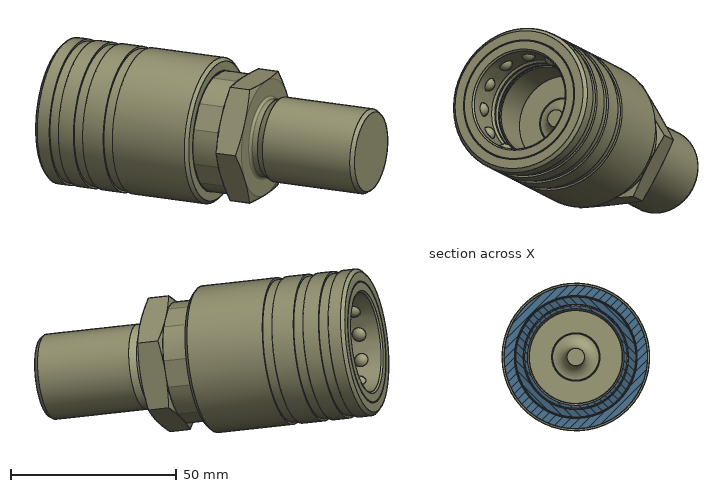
import cadquery as cq
import math


SLEEVE_LENGTH = 51.0
SLEEVE_DIAMETER = 44.8
SLEEVE_RADIUS = SLEEVE_DIAMETER / 2
SLEEVE_BORE_RADIUS = 18.6
SLEEVE_CHAMFER = 1.0
GRIP_GROOVE_DEPTH = 0.6
GRIP_GROOVE_WIDTH = 3.1
GRIP_GROOVE_STARTS = (5.0, 13.1, 23.0)

BARREL_RADIUS = 18.3
COLLAR_RADIUS = 18.5
HEX_ACROSS_FLATS = 36.0
HEX_START = 59.1
HEX_END = 67.0
HEX_CHAMFER_ANGLE = 15.0

TOTAL_LENGTH = 102.0
STEM_DIAMETER = 26.0
STEM_RADIUS = STEM_DIAMETER / 2
STEM_START = 71.7
STEM_CHAMFER_LENGTH = 1.2
STEM_CHAMFER_DEPTH = 0.8
NECK_RADIUS = 11.9
NECK_END = 69.6
NECK_FILLET = 0.8

MOUTH_CHAMFER = 0.5
SOCKET_RADIUS = 15.2
SOCKET_DEPTH = 13.0
SEAL_LAND_RADIUS = 14.5
SEAL_LAND_END = 17.4
SEAT_RADIUS = 14.1
SEAT_DEPTH = 30.6

SEAL_GROOVE_START = 14.5
SEAL_GROOVE_WIDTH = 2.1
SEAL_GROOVE_DEPTH = 1.4
SEAL_SECTION_RADIUS = 0.9
SEAL_EMBEDMENT = 0.1

BALL_COUNT = 12
BALL_X = 6.8
BALL_RADIUS = 2.2
BALL_CIRCLE_RADIUS = 15.8

POPPET_RADIUS = 7.0
POPPET_CLEARANCE = 0.3
POPPET_TIP_RADIUS = 2.7
POPPET_RECESS_DEPTH = 10.2


def turned(outline):
    """Revolve a closed outline, drawn as X against radius, about the X axis."""
    return outline.close().revolve(360, (0, 0, 0), (1, 0, 0))


def tube(start, length, outer, inner):
    """Ring about the X axis."""
    return cq.Workplane("YZ").workplane(offset=start).circle(outer).circle(inner).extrude(length)


def make_sleeve():
    """Sliding sleeve with chamfered ends and grip grooves."""
    sleeve = tube(0, SLEEVE_LENGTH, SLEEVE_RADIUS, SLEEVE_BORE_RADIUS)
    sleeve = sleeve.edges(cq.selectors.RadiusNthSelector(-1)).chamfer(SLEEVE_CHAMFER)
    groove_floor = SLEEVE_RADIUS - GRIP_GROOVE_DEPTH
    for start in GRIP_GROOVE_STARTS:
        sleeve = sleeve.cut(tube(start, GRIP_GROOVE_WIDTH, SLEEVE_RADIUS, groove_floor))
    return sleeve


def hex_prism(start, end):
    """Hexagon along X with two corners on the Y axis."""
    corner_diameter = HEX_ACROSS_FLATS / math.cos(math.radians(30))
    return cq.Workplane("YZ").workplane(offset=start).polygon(6, corner_diameter).extrude(end - start)


def make_barrel():
    """Round barrel inside the sleeve, and a collar with six flats behind it."""
    barrel = cq.Workplane("YZ").circle(BARREL_RADIUS).extrude(SLEEVE_LENGTH)
    collar = cq.Workplane("YZ").workplane(offset=SLEEVE_LENGTH).circle(COLLAR_RADIUS)
    collar = collar.extrude(HEX_START - SLEEVE_LENGTH)
    return barrel.union(collar.intersect(hex_prism(SLEEVE_LENGTH, HEX_START)))


def make_hex():
    """Hexagon whose corners are turned off by a shallow cone at both ends."""
    face_radius = HEX_ACROSS_FLATS / 2
    mid_x = (HEX_START + HEX_END) / 2
    half_width = (HEX_END - HEX_START) / 2
    bulge_radius = face_radius + half_width / math.tan(math.radians(HEX_CHAMFER_ANGLE))
    envelope = turned(
        cq.Workplane("XY")
        .moveTo(HEX_START, 0)
        .lineTo(HEX_START, face_radius)
        .lineTo(mid_x, bulge_radius)
        .lineTo(HEX_END, face_radius)
        .lineTo(HEX_END, 0)
    )
    return hex_prism(HEX_START, HEX_END).intersect(envelope)


def make_stem():
    """Neck filleted to the hexagon, then a stem with a coned start and a chamfered end."""
    diagonal = NECK_FILLET * (1 - math.sqrt(0.5))
    return turned(
        cq.Workplane("XY")
        .moveTo(HEX_END, 0)
        .lineTo(HEX_END, NECK_RADIUS + NECK_FILLET)
        .threePointArc(
            (HEX_END + diagonal, NECK_RADIUS + diagonal),
            (HEX_END + NECK_FILLET, NECK_RADIUS),
        )
        .lineTo(NECK_END, NECK_RADIUS)
        .lineTo(STEM_START, STEM_RADIUS)
        .lineTo(TOTAL_LENGTH - STEM_CHAMFER_LENGTH, STEM_RADIUS)
        .lineTo(TOTAL_LENGTH, STEM_RADIUS - STEM_CHAMFER_DEPTH)
        .lineTo(TOTAL_LENGTH, 0)
    )


def make_socket():
    """Space hollowed out of the barrel, down to the seat floor and the poppet recess."""
    recess_radius = POPPET_RADIUS + POPPET_CLEARANCE
    lead_in = SOCKET_RADIUS - SEAL_LAND_RADIUS
    socket = turned(
        cq.Workplane("XY")
        .moveTo(0, 0)
        .lineTo(0, SOCKET_RADIUS + MOUTH_CHAMFER)
        .lineTo(MOUTH_CHAMFER, SOCKET_RADIUS)
        .lineTo(SOCKET_DEPTH, SOCKET_RADIUS)
        .lineTo(SOCKET_DEPTH + lead_in, SEAL_LAND_RADIUS)
        .lineTo(SEAL_LAND_END, SEAL_LAND_RADIUS)
        .lineTo(SEAL_LAND_END, SEAT_RADIUS)
        .lineTo(SEAT_DEPTH, SEAT_RADIUS)
        .lineTo(SEAT_DEPTH, recess_radius)
        .lineTo(SEAT_DEPTH + POPPET_RECESS_DEPTH, recess_radius)
        .lineTo(SEAT_DEPTH + POPPET_RECESS_DEPTH, 0)
    )
    seal_groove = tube(
        SEAL_GROOVE_START, SEAL_GROOVE_WIDTH, SEAL_LAND_RADIUS + SEAL_GROOVE_DEPTH, SEAL_LAND_RADIUS
    )
    return socket.union(seal_groove)


def make_seal_bead():
    """Round ring sunk slightly into the floor of the seal groove."""
    mid_x = SEAL_GROOVE_START + SEAL_GROOVE_WIDTH / 2
    ring_radius = SEAL_LAND_RADIUS + SEAL_GROOVE_DEPTH - SEAL_SECTION_RADIUS + SEAL_EMBEDMENT
    centre = cq.Vector(mid_x, 0, 0)
    return cq.Workplane(cq.Solid.makeTorus(ring_radius, SEAL_SECTION_RADIUS, centre, cq.Vector(1, 0, 0)))


def make_ball(turn):
    """Locking ball turned about the X axis by an angle in degrees."""
    ball = cq.Workplane("XY").sphere(BALL_RADIUS).translate((BALL_X, 0, BALL_CIRCLE_RADIUS))
    return ball.rotate((0, 0, 0), (1, 0, 0), turn)


def make_body():
    """Barrel, collar, hexagon and stem, with the socket, its seal bead and its ring of balls."""
    body = make_barrel().union(make_hex()).union(make_stem()).cut(make_socket())
    body = body.union(make_seal_bead())
    for index in range(BALL_COUNT):
        body = body.union(make_ball(index * 360 / BALL_COUNT))
    return body


def make_poppet():
    """Round plug in the seat floor, flaring in from its rim to a narrow flat tip."""
    flare = POPPET_RADIUS - POPPET_TIP_RADIUS
    tip_x = SEAT_DEPTH - flare
    back_x = SEAT_DEPTH + POPPET_RECESS_DEPTH
    diagonal = flare * (1 - math.sqrt(0.5))
    return turned(
        cq.Workplane("XY")
        .moveTo(tip_x, 0)
        .lineTo(tip_x, POPPET_TIP_RADIUS)
        .threePointArc(
            (SEAT_DEPTH - diagonal, POPPET_TIP_RADIUS + diagonal), (SEAT_DEPTH, POPPET_RADIUS)
        )
        .lineTo(back_x, POPPET_RADIUS)
        .lineTo(back_x, 0)
    )


sleeve = make_sleeve()
body = make_body()
poppet = make_poppet()
result = cq.Compound.makeCompound([sleeve.val(), body.val(), poppet.val()])